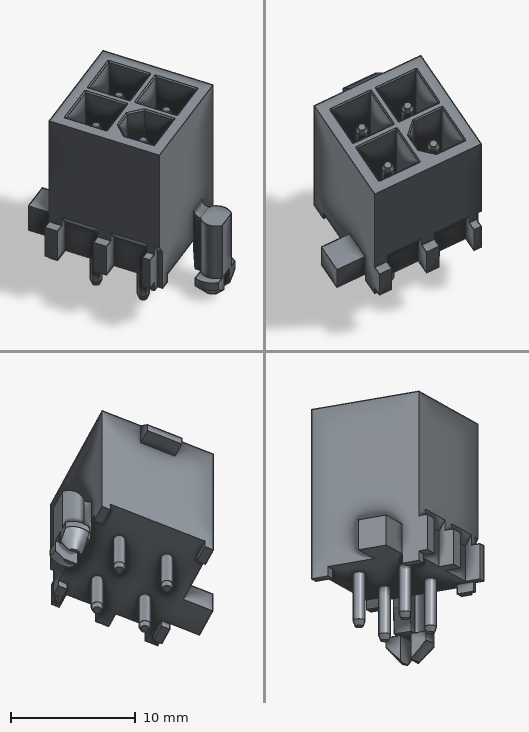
import cadquery as cq


housing_width = 9.8
housing_height = 13.45
half_width = housing_width / 2
wall_overlap = 0.19

pitch = 4.2
half_pitch = pitch / 2
cavity_width = 3.6
cavity_floor = 2.97
mouth_chamfer = 0.11
key_corner = 1.02
pin_diameter = 0.97
pin_tip_diameter = 0.63
pin_tip_length = 0.48
pin_bottom = -4.44
pin_top = 11.95

foot_width = 0.75
foot_length = 1.5
foot_height = 0.8

rib_projection = 0.78
rib_height = 2.97
recess_depth = 0.55
recess_height = 3.83
middle_rib_half_width = 0.58
outer_rib_inner_edge = 3.79
right_rib_outer_edge = 4.45

peg_length = 2.6
peg_width = 2.53

latch_width = 3.03
latch_projection = 1.3
latch_ramp_drop = 1.69
latch_drop = 2.58
latch_root_drop = 2.5

lock_reach = 2.6
lock_flat_width = 1.93
lock_x = half_width + lock_reach - lock_flat_width / 2
lock_y = 2.08
lock_diameter = 2.56
lock_top = peg_width
web_thickness = 1.55
web_fillet = 0.61
web_taper = 0.13
barb_x = 6.24
barb_radius = 1.95
barb_tip_radius = 0.7
barb_top = -2.93
barb_cone_top = -3.71
lock_bottom = -5.13
lock_slot_width = 0.97


def block(x_range, y_range, z_range):
    """Box spanning the given (low, high) limits on each axis."""
    size = [high - low for low, high in (x_range, y_range, z_range)]
    corner = (x_range[0], y_range[0], z_range[0])
    return cq.Workplane("XY").box(*size, centered=False).translate(corner)


def cavity_outline(corner, z):
    """Square outline with its two -X corners cut at 45 degrees when corner > 0."""
    half = cavity_width / 2
    plane = cq.Workplane("XY").workplane(offset=z)
    if corner == 0:
        return plane.rect(cavity_width, cavity_width)
    return plane.polyline([
        (half, -half),
        (half, half),
        (corner - half, half),
        (-half, half - corner),
        (-half, corner - half),
        (corner - half, -half),
    ]).close()


def cavity_cutter(corner):
    """Contact cavity with a chamfered mouth, centred on its contact."""
    depth = housing_height - cavity_floor
    shaft = cavity_outline(corner, cavity_floor).extrude(depth)
    mouth_bottom = housing_height - mouth_chamfer
    mouth = cavity_outline(corner, mouth_bottom).extrude(mouth_chamfer, taper=-45)
    return shaft.union(mouth)


def contact_pin():
    """Round pin with a conical tip at both ends."""
    radius = pin_diameter / 2
    tip_radius = pin_tip_diameter / 2
    return (
        cq.Workplane("XZ")
        .polyline([
            (0, pin_bottom),
            (tip_radius, pin_bottom),
            (radius, pin_bottom + pin_tip_length),
            (radius, pin_top - pin_tip_length),
            (tip_radius, pin_top),
            (0, pin_top),
        ])
        .close()
        .revolve(360, (0, 0), (0, 1))
    )


def board_lock():
    """Flat-sided post with a split conical barb, carried on a web."""
    flats = block(
        (lock_x - lock_flat_width / 2, lock_x + lock_flat_width / 2),
        (-barb_radius, barb_radius),
        (lock_bottom, lock_top),
    )
    post = (
        cq.Workplane("XY", origin=(lock_x, 0, barb_top))
        .circle(lock_diameter / 2)
        .extrude(lock_top - barb_top)
    )
    barb = (
        cq.Workplane("XZ", origin=(barb_x, 0, 0))
        .polyline([
            (0, lock_bottom),
            (barb_tip_radius, lock_bottom),
            (barb_radius, barb_cone_top),
            (barb_radius, barb_top),
            (0, barb_top),
        ])
        .close()
        .revolve(360, (0, 0), (0, 1))
    )
    slot = block(
        (0, 2 * lock_x),
        (-lock_slot_width / 2, lock_slot_width / 2),
        (lock_bottom, barb_top),
    )
    web = (
        cq.Workplane("XZ")
        .moveTo(half_width - wall_overlap, 0)
        .lineTo(half_width - wall_overlap, lock_top + web_fillet)
        .lineTo(half_width, lock_top + web_fillet)
        .radiusArc((half_width + web_fillet, lock_top), -web_fillet)
        .lineTo(lock_x, lock_top)
        .lineTo(lock_x, barb_top)
        .lineTo(half_width + web_taper, barb_top)
        .lineTo(half_width, -foot_height)
        .lineTo(half_width, 0)
        .close()
        .extrude(web_thickness / 2, both=True)
    )
    return post.union(barb).intersect(flats).cut(slot).union(web)


def latch_ramp():
    """Wedge with its slope facing up and outward on the +Y wall."""
    tip_y = half_width + latch_projection
    inner_y = half_width - wall_overlap
    return (
        cq.Workplane("YZ")
        .polyline([
            (inner_y, housing_height),
            (half_width, housing_height),
            (tip_y, housing_height - latch_ramp_drop),
            (tip_y, housing_height - latch_drop),
            (half_width, housing_height - latch_root_drop),
            (inner_y, housing_height - latch_root_drop),
        ])
        .close()
        .extrude(latch_width / 2, both=True)
    )


def recess_cutter(x_start, x_end):
    """Recess in the -Y wall, open at the bottom, with a sloping roof."""
    recess_y = recess_depth - half_width
    return (
        cq.Workplane("YZ", origin=(x_start, 0, 0))
        .polyline([
            (-half_width, -foot_height),
            (recess_y, -foot_height),
            (recess_y, rib_height),
            (-half_width, recess_height),
        ])
        .close()
        .extrude(x_end - x_start)
    )


body = block((-half_width, half_width), (-half_width, half_width), (0, housing_height))
foot_centre_x = half_width - foot_width / 2
foot_centre_y = half_width - foot_length / 2
feet = (
    cq.Workplane("XY")
    .rect(2 * foot_centre_x, 2 * foot_centre_y, forConstruction=True)
    .vertices()
    .rect(foot_width, foot_length)
    .extrude(-foot_height)
)
body = body.union(feet)

recess_spans = [
    (-outer_rib_inner_edge, -middle_rib_half_width),
    (middle_rib_half_width, outer_rib_inner_edge),
    (right_rib_outer_edge, half_width),
]
for start, end in recess_spans:
    body = body.cut(recess_cutter(start, end))

rib_spans = [
    (-half_width, -outer_rib_inner_edge),
    (-middle_rib_half_width, middle_rib_half_width),
    (outer_rib_inner_edge, right_rib_outer_edge),
]
rib_y = (-half_width - rib_projection, wall_overlap - half_width)
for span in rib_spans:
    body = body.union(block(span, rib_y, (0, rib_height)))

peg = block(
    (-half_width - peg_length, wall_overlap - half_width),
    (-half_pitch - peg_width / 2, -half_pitch + peg_width / 2),
    (0, peg_width),
)
body = body.union(peg)

body = body.union(latch_ramp())
body = body.union(board_lock().translate((0, lock_y, 0)))

contact_positions = [(x, y) for x in (-half_pitch, half_pitch) for y in (-half_pitch, half_pitch)]
keyed_position = (half_pitch, -half_pitch)
for position in contact_positions:
    corner = key_corner if position == keyed_position else 0
    body = body.cut(cavity_cutter(corner).translate((*position, 0)))
for position in contact_positions:
    body = body.union(contact_pin().translate((*position, 0)))

result = body